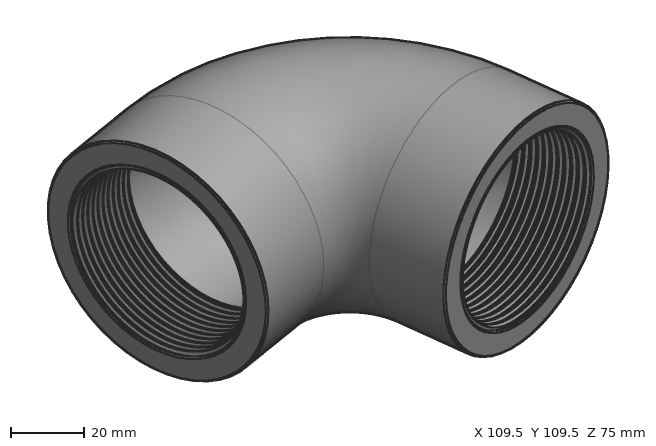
import cadquery as cq
import math

outer_diameter = 75.0
axis_to_face = 72.0
socket_length = 25.7
bend_bore_diameter = 57.4
rim_chamfer = 0.5
mouth_chamfer = 0.5
bend_radius = axis_to_face - socket_length

thread_major_diameter = 59.614
thread_minor_diameter = 57.4
thread_pitch = 2.309
flank_angle = 30.0
ridge_crest_width = 0.48
thread_start_angle = 97.0
thread_start_depth = mouth_chamfer


def place_on_front_socket(shape):
    """Move a shape built up +Z from the origin so it runs inward (+Y) from the -Y face."""
    return shape.rotate((0, 0, 0), (1, 0, 0), -90).translate((0, -axis_to_face, 0))


def place_on_side_socket(shape):
    """Move a shape built up +Z from the origin so it runs inward (-X) from the +X face."""
    return shape.rotate((0, 0, 0), (0, 1, 0), -90).translate((axis_to_face, 0, 0))


socket_placements = (place_on_front_socket, place_on_side_socket)


def make_bend(diameter):
    """Quarter-torus joining the inner ends of the two sockets."""
    return (
        cq.Workplane("XZ", origin=(0, -bend_radius, 0))
        .circle(diameter / 2)
        .revolve(90, (bend_radius, 0, 0), (bend_radius, -1, 0))
    )


def make_socket_outside():
    return (
        cq.Workplane("XY")
        .circle(outer_diameter / 2)
        .extrude(socket_length)
        .faces("<Z")
        .chamfer(rim_chamfer)
    )


def make_socket_bore():
    """Plain bore at the thread's major diameter, opened by a cone at the mouth."""
    bore_radius = thread_major_diameter / 2
    return (
        cq.Workplane("XZ")
        .moveTo(0, 0)
        .lineTo(bore_radius + mouth_chamfer, 0)
        .lineTo(bore_radius, mouth_chamfer)
        .lineTo(bore_radius, socket_length)
        .lineTo(0, socket_length)
        .close()
        .revolve(360, (0, 0, 0), (0, 1, 0))
    )


def make_elbow():
    body = make_bend(outer_diameter)
    for place in socket_placements:
        body = body.union(place(make_socket_outside()))
    body = body.cut(make_bend(bend_bore_diameter))
    for place in socket_placements:
        body = body.cut(place(make_socket_bore()))
    return body


def make_thread():
    """Helical ridge standing inward from the bore wall, trimmed flat at both ends."""
    crest_radius = thread_minor_diameter / 2
    wall_radius = thread_major_diameter / 2
    flank_width = (wall_radius - crest_radius) * math.tan(math.radians(flank_angle))
    half_crest = ridge_crest_width / 2
    half_base = half_crest + flank_width
    thread_length = socket_length - thread_start_depth
    helix_height = thread_length + 2 * thread_pitch
    helix = cq.Wire.makeHelix(thread_pitch, helix_height, wall_radius)
    ridge = (
        cq.Workplane("XZ")
        .polyline([
            (wall_radius, -half_base),
            (crest_radius, -half_crest),
            (crest_radius, half_crest),
            (wall_radius, half_base),
        ])
        .close()
        .sweep(cq.Workplane(helix), isFrenet=True)
        .rotate((0, 0, 0), (0, 0, 1), -thread_start_angle)
        .translate((0, 0, thread_start_depth - thread_pitch))
    )
    trim = (
        cq.Workplane("XY", origin=(0, 0, thread_start_depth))
        .circle(outer_diameter / 2)
        .extrude(thread_length)
    )
    return ridge.intersect(trim)


elbow = make_elbow()
threads = [place(make_thread()) for place in socket_placements]

result = cq.Compound.makeCompound([elbow.val(), *[thread.val() for thread in threads]])